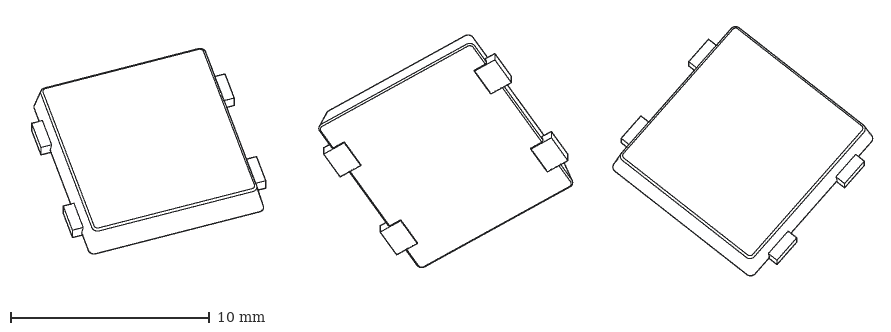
import cadquery as cq
import math

body_length_x = 9.74
body_length_y = 9.22
body_top = 1.83
body_bottom = 0.1
wall_draft = 10.0
corner_radius = 0.3
edge_bevel = 0.1

overall_length_y = 10.19
terminal_width = 1.56
terminal_depth = 1.23
terminal_height = 0.66
terminal_pitch = 5.32


def make_body():
    draft = math.radians(wall_draft)
    trimmed = edge_bevel * math.sin(draft)
    block = (
        cq.Workplane("XY")
        .workplane(offset=body_bottom)
        .rect(body_length_x + 2 * trimmed, body_length_y + 2 * trimmed)
        .extrude(body_top - body_bottom, taper=wall_draft)
    )
    leaning_corners = block.edges("not #Z")
    rounded = leaning_corners.fillet(corner_radius)
    return rounded.faces("<Z or >Z").edges().chamfer(edge_bevel)


def make_terminals():
    center_y = (overall_length_y - terminal_depth) / 2
    return (
        cq.Workplane("XY")
        .rect(terminal_pitch, 2 * center_y, forConstruction=True)
        .vertices()
        .rect(terminal_width, terminal_depth)
        .extrude(terminal_height)
    )


result = make_body().union(make_terminals())